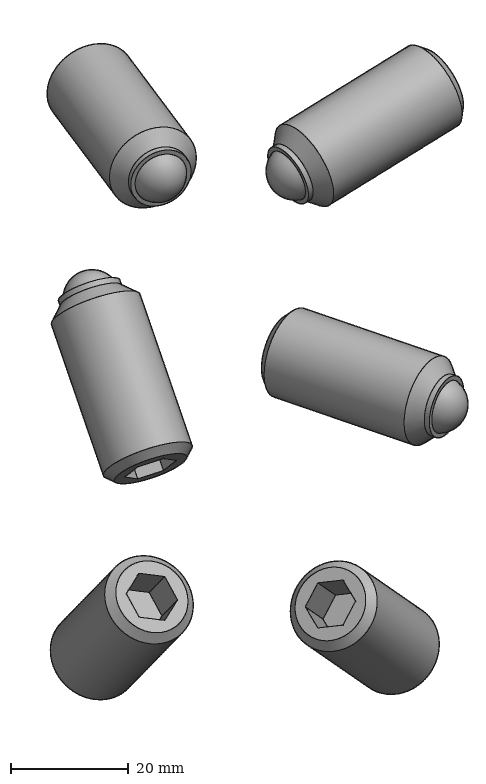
import cadquery as cq
import math

total_length = 36.5
body_diameter = 16.0
collar_diameter = 11.1
ball_diameter = 9.95

socket_chamfer = 1.5
nose_start = 29.53
collar_start = 32.05
collar_end = 33.07

socket_across_flats = 8.0
socket_depth = 8.0

body_radius = body_diameter / 2
collar_radius = collar_diameter / 2
ball_radius = ball_diameter / 2
ball_center = total_length - ball_radius


def turned_body():
    """Revolve the half profile of the body, its cones, the collar and the ball tip."""
    ball_edge_radius = math.sqrt(ball_radius**2 - (collar_end - ball_center) ** 2)
    half_angle = math.atan2(ball_edge_radius, collar_end - ball_center) / 2
    arc_middle = (
        ball_center + ball_radius * math.cos(half_angle),
        ball_radius * math.sin(half_angle),
    )
    return (
        cq.Workplane("XY")
        .moveTo(0, 0)
        .lineTo(0, body_radius - socket_chamfer)
        .lineTo(socket_chamfer, body_radius)
        .lineTo(nose_start, body_radius)
        .lineTo(collar_start, collar_radius)
        .lineTo(collar_end, collar_radius)
        .lineTo(collar_end, ball_edge_radius)
        .threePointArc(arc_middle, (total_length, 0))
        .close()
        .revolve(360, (0, 0, 0), (1, 0, 0))
    )


def hexagon_socket():
    """Flat-bottomed hexagonal prism entering from the chamfered end."""
    across_corners = socket_across_flats / math.cos(math.pi / 6)
    return cq.Workplane("YZ").polygon(6, across_corners).extrude(socket_depth)


result = turned_body().cut(hexagon_socket())